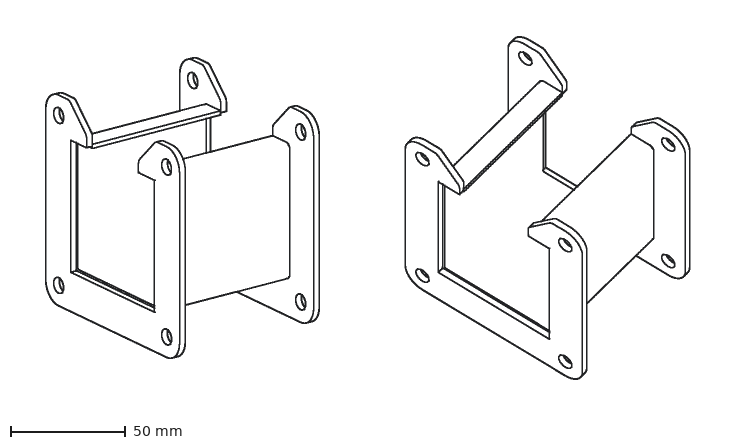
import cadquery as cq

plate_size = 98.4
overall_depth = 76.0
plate_thickness = 3.15
corner_radius = 9.5
hole_diameter = 7.2

channel_size = 63.6
wall = 2.0
bend_radius = 2.7
slot_width = 38.1

window_size = channel_size - wall
tip_radius = 3.15

half_plate = plate_size / 2
half_channel = channel_size / 2
half_slot = slot_width / 2
hole_pitch = plate_size - 2 * corner_radius
channel_length = overall_depth - 2 * plate_thickness
mouth_drop = half_channel - half_slot
tip_z = half_plate - mouth_drop


def make_end_plate(front_y):
    """C-shaped flange whose front face lies at front_y."""
    plane = cq.Workplane("XZ", origin=(0, front_y, 0))
    plate = plane.rect(plate_size, plate_size).extrude(-plate_thickness)
    plate = plate.edges("|Y").fillet(corner_radius)

    window = plane.rect(window_size, window_size).extrude(-plate_thickness)
    mouth = (
        plane.moveTo(-half_slot, 0)
        .lineTo(half_slot, 0)
        .lineTo(half_slot, tip_z)
        .lineTo(half_channel, half_plate)
        .lineTo(-half_channel, half_plate)
        .lineTo(-half_slot, tip_z)
        .close()
        .extrude(-plate_thickness)
    )
    plate = plate.cut(window).cut(mouth)

    for side in (-1, 1):
        for x, z in ((half_channel, half_plate), (half_slot, tip_z)):
            corner = (side * x, front_y + plate_thickness / 2, z)
            plate = plate.edges(cq.NearestToPointSelector(corner)).fillet(tip_radius)

    holes = (
        plane.rect(hole_pitch, hole_pitch, forConstruction=True)
        .vertices()
        .circle(hole_diameter / 2)
        .extrude(-plate_thickness)
    )
    return plate.cut(holes).solids()


def make_channel():
    """Bent sheet channel that fits between the two plates."""
    plane = cq.Workplane("XZ", origin=(0, -channel_length / 2, 0))
    outside = plane.rect(channel_size, channel_size).extrude(-channel_length)
    outside = outside.edges("|Y").fillet(bend_radius)

    cavity_size = channel_size - 2 * wall
    cavity = plane.rect(cavity_size, cavity_size).extrude(-channel_length)
    cavity = cavity.edges("|Y").fillet(bend_radius - wall)

    slot = (
        plane.center(0, half_channel / 2)
        .rect(slot_width, half_channel)
        .extrude(-channel_length)
    )
    return outside.cut(cavity).cut(slot).solids()


channel = make_channel()
end_plates = []
for front_y in (-overall_depth / 2, channel_length / 2):
    end_plates.append(make_end_plate(front_y).val())

result = cq.Compound.makeCompound([channel.val(), *end_plates])